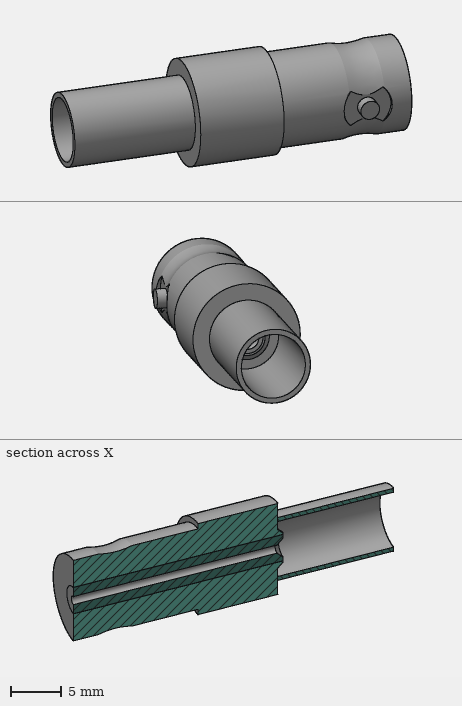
import cadquery as cq

length = 35.2
mating_end = length / 2
cable_end = -length / 2
collar_front = 3.9
collar_back = -4.9

collar_radius = 5.5
barrel_radius = 4.85
bore_radius = 1.55
nose_base_radius = 2.32
nose_tip_radius = 1.75
nose_tip = collar_back - (nose_base_radius - nose_tip_radius)

waist_center = 13.0
waist_width = 3.7
waist_depth = 0.25
stud_radius = 1.0
stud_seat_radius = 2.55
stud_seat_distance = 4.45

ferrule_radius = 3.8
ferrule_bore_radius = 3.27

insulator_hole_radius = 0.45
insulator_countersink_radius = 1.13
insulator_countersink_depth = insulator_countersink_radius - insulator_hole_radius


def revolve_about_y(profile):
    """Turn a closed XY profile of radius against Y around the Y axis."""
    return profile.close().revolve(360, (0, 0, 0), (0, 1, 0))


def make_turned_housing():
    """Barrel and collar with a concave waist, a tapered nose and a through bore."""
    return revolve_about_y(
        cq.Workplane("XY")
        .moveTo(nose_base_radius, collar_back)
        .lineTo(collar_radius, collar_back)
        .lineTo(collar_radius, collar_front)
        .lineTo(barrel_radius, collar_front)
        .lineTo(barrel_radius, waist_center - waist_width / 2)
        .threePointArc(
            (barrel_radius - waist_depth, waist_center),
            (barrel_radius, waist_center + waist_width / 2),
        )
        .lineTo(barrel_radius, mating_end)
        .lineTo(bore_radius, mating_end)
        .lineTo(bore_radius, nose_tip)
        .lineTo(nose_tip_radius, nose_tip)
    )


def radial_cylinder(side, radius, start, end):
    """Cylinder along X at the waist, on the side given by the sign."""
    return cq.Workplane(
        cq.Solid.makeCylinder(
            radius,
            end - start,
            cq.Vector(side * start, waist_center, 0),
            cq.Vector(side, 0, 0),
        )
    )


def make_housing():
    """Turned housing with a round flat seat and a stud on each side."""
    housing = make_turned_housing()
    stud_root = (bore_radius + stud_seat_distance) / 2
    for side in (-1, 1):
        seat = radial_cylinder(side, stud_seat_radius, stud_seat_distance, collar_radius)
        housing = housing.cut(seat)
        housing = housing.union(radial_cylinder(side, stud_radius, stud_root, collar_radius))
    return housing.solids()


def make_ferrule():
    """Plain tube butted against the back face of the collar."""
    return revolve_about_y(
        cq.Workplane("XY")
        .moveTo(ferrule_bore_radius, cable_end)
        .lineTo(ferrule_radius, cable_end)
        .lineTo(ferrule_radius, collar_back)
        .lineTo(ferrule_bore_radius, collar_back)
    )


def make_insulator():
    """Sleeve filling the housing bore, its hole countersunk at the cable end."""
    return revolve_about_y(
        cq.Workplane("XY")
        .moveTo(insulator_countersink_radius, nose_tip)
        .lineTo(bore_radius, nose_tip)
        .lineTo(bore_radius, mating_end)
        .lineTo(insulator_hole_radius, mating_end)
        .lineTo(insulator_hole_radius, nose_tip + insulator_countersink_depth)
    )


housing = make_housing()
ferrule = make_ferrule()
insulator = make_insulator()

result = cq.Compound.makeCompound([housing.val(), ferrule.val(), insulator.val()])